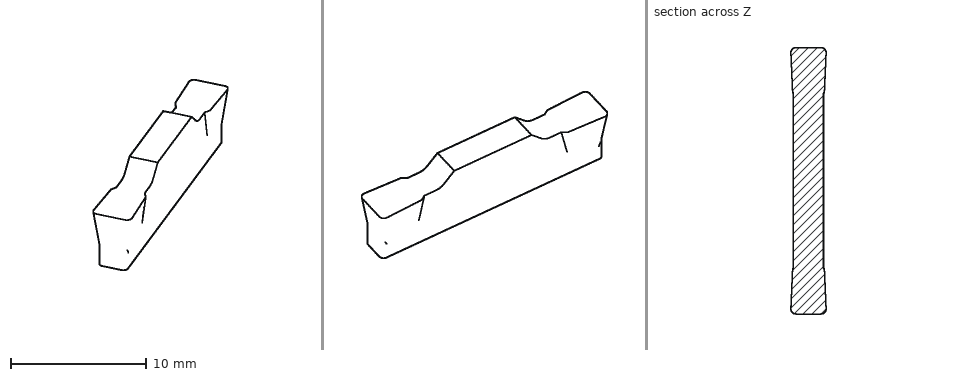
import cadquery as cq
import math

LENGTH = 20.1
CUT_WIDTH = 3.05
HEIGHT = 5.75
DECK_HEIGHT = 4.6
CLEARANCE_DEG = 6.6

SHANK_WIDTH = 2.25
SHANK_LENGTH = 19.6
SHANK_CORNER_RADIUS = 0.38
HUMP_TOP_LENGTH = 6.84
HUMP_SLOPE_DEG = 43.5
HUMP_FOOT_RADIUS = 1.07

HEAD_DEPTH = 3.62
HEAD_LENGTH = 4.0
NOSE_RADIUS = 0.4
SIDE_TAPER_DEG = 2.5
NECK_DEG = 32.0
NECK_RADIUS = 0.16
HIDDEN_HALF_WIDTH = 0.8

half_shank = SHANK_WIDTH / 2
side_taper = math.radians(SIDE_TAPER_DEG)
neck_angle = math.radians(NECK_DEG)


def make_shank():
    """Straight bar with rounded vertical end edges."""
    bar = cq.Workplane("XY").box(SHANK_WIDTH, SHANK_LENGTH, DECK_HEIGHT, centered=(True, True, False))
    return bar.edges("|Z").fillet(SHANK_CORNER_RADIUS)


def make_hump():
    """Raised centre whose sloping ends blend into the deck with tangent arcs."""
    slope = math.radians(HUMP_SLOPE_DEG)
    top_y = HUMP_TOP_LENGTH / 2
    arc_z = DECK_HEIGHT + HUMP_FOOT_RADIUS * (1 - math.cos(slope))
    arc_y = top_y + (HEIGHT - arc_z) / math.tan(slope)
    foot_y = arc_y + HUMP_FOOT_RADIUS * math.sin(slope)
    mid_y = foot_y - HUMP_FOOT_RADIUS * math.sin(slope / 2)
    mid_z = DECK_HEIGHT + HUMP_FOOT_RADIUS * (1 - math.cos(slope / 2))
    profile = (
        cq.Workplane("YZ")
        .moveTo(-foot_y, 0)
        .lineTo(-foot_y, DECK_HEIGHT)
        .threePointArc((-mid_y, mid_z), (-arc_y, arc_z))
        .lineTo(-top_y, HEIGHT)
        .lineTo(top_y, HEIGHT)
        .lineTo(arc_y, arc_z)
        .threePointArc((mid_y, mid_z), (foot_y, DECK_HEIGHT))
        .lineTo(foot_y, 0)
        .close()
    )
    return profile.extrude(half_shank, both=True)


def make_head():
    """Relieved cutting head at the -Y end."""
    edge_y = -LENGTH / 2
    corner_trim = NOSE_RADIUS * (math.tan(side_taper) + 1 / math.cos(side_taper) - 1)
    edge_x = CUT_WIDTH / 2 + corner_trim
    neck_run = (
        (edge_x - half_shank - HEAD_LENGTH * math.tan(side_taper))
        / (math.tan(neck_angle) - math.tan(side_taper))
    )
    neck_x = half_shank + neck_run * math.tan(neck_angle)
    neck_y = edge_y + HEAD_LENGTH - neck_run
    back_y = edge_y + HEAD_LENGTH + (half_shank - HIDDEN_HALF_WIDTH) / math.tan(neck_angle)
    head = (
        cq.Workplane("XY", origin=(0, 0, DECK_HEIGHT))
        .polyline([
            (-edge_x, edge_y),
            (edge_x, edge_y),
            (neck_x, neck_y),
            (HIDDEN_HALF_WIDTH, back_y),
            (-HIDDEN_HALF_WIDTH, back_y),
            (-neck_x, neck_y),
        ])
        .close()
        .extrude(-HEAD_DEPTH, taper=CLEARANCE_DEG)
    )
    flank_edges = head.faces("<Y").edges("not #Z")
    head = flank_edges.fillet(NOSE_RADIUS)
    mid_z = DECK_HEIGHT - HEAD_DEPTH / 2
    for side in (-1, 1):
        neck_edge = head.edges(cq.selectors.NearestToPointSelector((side * neck_x, neck_y, mid_z)))
        head = neck_edge.fillet(NECK_RADIUS)
    return head


head = make_head()
result = make_shank().union(make_hump()).union(head).union(head.mirror("XZ")).clean()